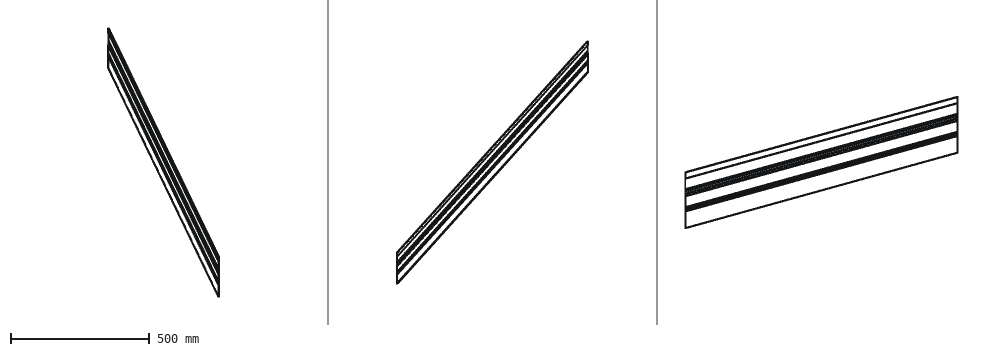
import cadquery as cq

length = 1100
height = 240.0
thickness = 3.5
edge_bevel = 2.0
edge_depth = 1.0

field_depth = 1.3
flute_depth = 0.7
upper_groove_depth = 2.0
ledge_depth = 1.0
lower_groove_depth = 2.6
lower_groove_bend = 0.9

lip_top = 216.0
lip_bottom = 212.0
upper_flutes_top = 168.0
upper_groove_top = 156.0
upper_groove_bottom = 147.0
middle_field_top = 138.0
lower_groove_top = 92.0
lower_groove_floor = 90.0
lower_groove_bend_height = 88
lower_groove_bottom = 85.0
lower_flutes_top = 82.0
groove_slope = 2.0

flute_width = 3.0
flute_pitch = 2 * flute_width
flutes_per_band = 2

half_height = height / 2
front = -thickness / 2
back = thickness / 2


def flutes(surface_depth, band_top):
    """Outline points, top to bottom, of one band of square flutes."""
    floor_depth = surface_depth + flute_depth
    points = []
    for index in range(flutes_per_band):
        flute_top = band_top - index * flute_pitch
        flute_bottom = flute_top - flute_width
        points += [
            (surface_depth, flute_top),
            (floor_depth, flute_top),
            (floor_depth, flute_bottom),
            (surface_depth, flute_bottom),
        ]
    return points


top_lip = [
    (0, height),
    (0, lip_top),
    (field_depth, lip_bottom),
]
upper_groove = [
    (field_depth, upper_groove_top),
    (upper_groove_depth, upper_groove_top - groove_slope),
    (upper_groove_depth, upper_groove_bottom + groove_slope),
    (ledge_depth, upper_groove_bottom),
    (ledge_depth, middle_field_top + groove_slope),
    (0, middle_field_top),
]
lower_groove = [
    (0, lower_groove_top),
    (lower_groove_depth, lower_groove_floor),
    (lower_groove_bend, lower_groove_bend_height),
    (0, lower_groove_bottom),
]
lower_edge = [
    (0, edge_bevel),
    (edge_depth, 0),
]
front_outline = (
    top_lip
    + flutes(field_depth, upper_flutes_top)
    + upper_groove
    + lower_groove
    + flutes(0, lower_flutes_top)
    + lower_edge
)

outline = [(front + depth, z - half_height) for depth, z in front_outline]
outline += [(back, -half_height), (back, half_height)]

result = cq.Workplane("YZ").polyline(outline).close().extrude(length / 2, both=True)